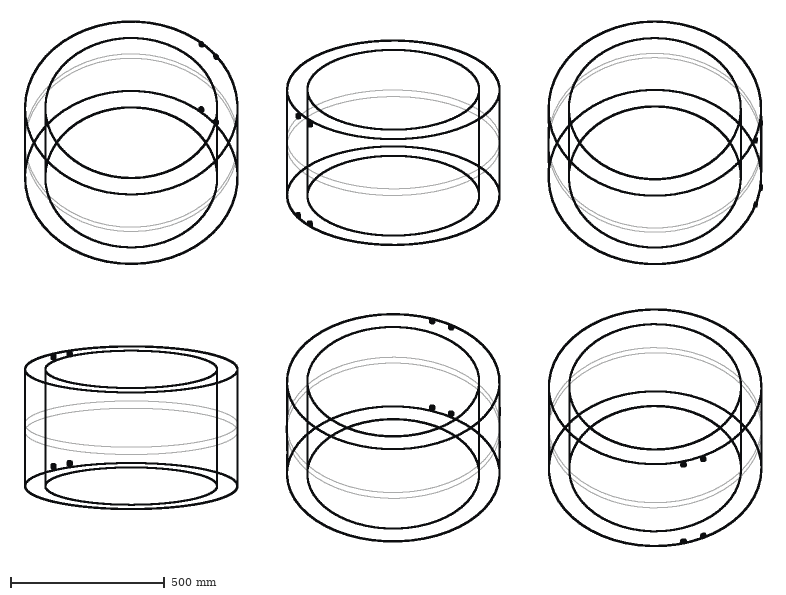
import cadquery as cq

height = 390.0
band_radius = 347.5
end_taper = 0.55
end_radius = band_radius - end_taper
bore_radius = 280.5

band_height = 24.5

pin_tip_y = 350.0
pin_diameter = 14.0
pin_spacing = 69.0
pin_end_distance = 12.5
pin_root_depth = 10.5


def make_sleeve():
    """Thick tube: cylindrical middle band, tapering slightly to both end faces."""
    half_height = height / 2
    half_band = band_height / 2
    wall_section = [
        (bore_radius, -half_height),
        (end_radius, -half_height),
        (band_radius, -half_band),
        (band_radius, half_band),
        (end_radius, half_height),
        (bore_radius, half_height),
    ]
    return (
        cq.Workplane("XZ")
        .polyline(wall_section)
        .close()
        .revolve(360, (0, 0, 0), (0, 1, 0))
    )


def make_pins():
    """Two pins near each end, pointing along +Y."""
    pin_length = pin_tip_y - end_radius + pin_root_depth
    return (
        cq.Workplane("XZ", origin=(0, pin_tip_y, 0))
        .rarray(pin_spacing, height - 2 * pin_end_distance, 2, 2)
        .circle(pin_diameter / 2)
        .extrude(pin_length)
    )


result = make_sleeve().union(make_pins())